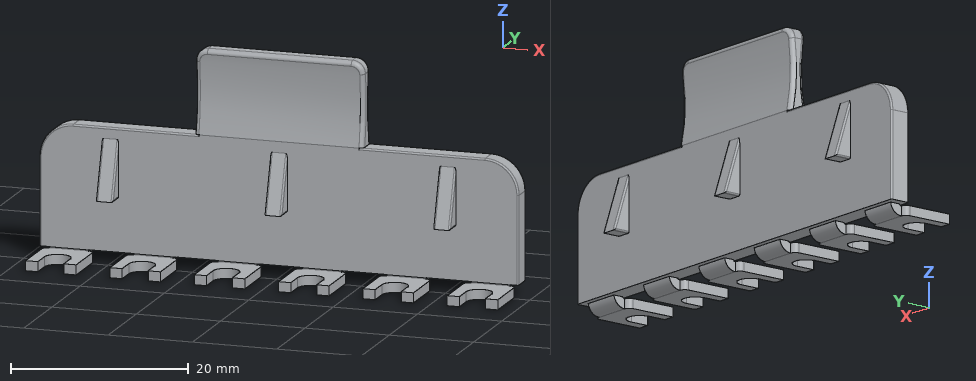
import cadquery as cq
import math

plate_length = 56.8
plate_height = 14.4
plate_thickness = 2.5
plate_corner_radius = 4.0
edge_round = 0.2
plate_face = plate_thickness / 2

grip_width = 20.0
grip_height = 10.0
grip_waist = 1.5
grip_corner_radius = 1.5
grip_edge_round = 0.5

lug_count = 6
lug_pitch = grip_width / 2
lug_width = 6.0
lug_thickness = 1.2
lug_tip_reach = 7.45
lug_corner_radius = 0.7
lug_drop = 1.35
bend_inner_radius = 0.35
bend_outer_radius = bend_inner_radius + lug_thickness
bend_back = 0.5
bend_centre_y = bend_back - bend_outer_radius
bend_centre_z = bend_outer_radius - lug_drop
bend_width = lug_width - 2 * lug_corner_radius
slot_width = 3.05
slot_depth = 3.9

rib_count = 3
rib_pitch = 2 * lug_pitch
rib_width = 2.0
rib_reach = 3.4
rib_bottom = 6.3
rib_top = 13.1


def row_positions(count, pitch):
    """X places of a row of features centred on X = 0."""
    return [(i - (count - 1) / 2) * pitch for i in range(count)]


def make_plate():
    plate = cq.Workplane("XY").box(plate_length, plate_thickness, plate_height, centered=(True, True, False))
    plate = plate.edges("|Y and >Z").fillet(plate_corner_radius)
    return plate.faces("<Y or >Y").edges("not <Z").fillet(edge_round)


def make_grip():
    grip_top = plate_height + grip_height
    grip_middle = plate_height + grip_height / 2
    waist_face = grip_waist / 2
    grip = (
        cq.Workplane("YZ")
        .moveTo(-plate_face, plate_height)
        .lineTo(plate_face, plate_height)
        .threePointArc((waist_face, grip_middle), (plate_face, grip_top))
        .lineTo(-plate_face, grip_top)
        .threePointArc((-waist_face, grip_middle), (-plate_face, plate_height))
        .close()
        .extrude(grip_width / 2, both=True)
    )
    grip = grip.edges("|Y and >Z").fillet(grip_corner_radius)
    grip = grip.faces("<Y or >Y").edges("not <Z").fillet(grip_edge_round)
    foot = (
        cq.Workplane("XY", origin=(0, 0, plate_height - edge_round))
        .box(grip_width - 2 * grip_edge_round, plate_thickness, edge_round, centered=(True, True, False))
    )
    return grip.union(foot)


def make_lug(x):
    diagonal = math.sqrt(0.5)
    bend = (
        cq.Workplane("YZ", origin=(x, bend_centre_y, bend_centre_z))
        .moveTo(bend_outer_radius, 0)
        .threePointArc((bend_outer_radius * diagonal, -bend_outer_radius * diagonal), (0, -bend_outer_radius))
        .lineTo(0, -bend_inner_radius)
        .threePointArc((bend_inner_radius * diagonal, -bend_inner_radius * diagonal), (bend_inner_radius, 0))
        .close()
        .extrude(bend_width / 2, both=True)
    )
    fork_length = lug_tip_reach + bend_centre_y
    fork = (
        cq.Workplane("XY", origin=(x, bend_centre_y - fork_length / 2, -lug_drop))
        .box(lug_width, fork_length, lug_thickness, centered=(True, True, False))
        .edges("|Z and >Y")
        .fillet(lug_corner_radius)
    )
    slot = (
        cq.Workplane("XY", origin=(x, -lug_tip_reach, -lug_drop))
        .slot2D(2 * slot_depth, slot_width, 90)
        .extrude(lug_thickness)
    )
    return bend.union(fork.cut(slot))


def make_rib(x):
    rib = (
        cq.Workplane("YZ", origin=(x, 0, 0))
        .polyline([
            (-plate_face, rib_top),
            (-rib_reach, rib_bottom),
            (rib_reach, rib_bottom),
            (plate_face, rib_top),
        ])
        .close()
        .extrude(rib_width / 2, both=True)
    )
    return rib.faces("<X or >X").edges().fillet(edge_round)


result = make_plate().union(make_grip())
for x in row_positions(lug_count, lug_pitch):
    result = result.union(make_lug(x))
for x in row_positions(rib_count, rib_pitch):
    result = result.union(make_rib(x))